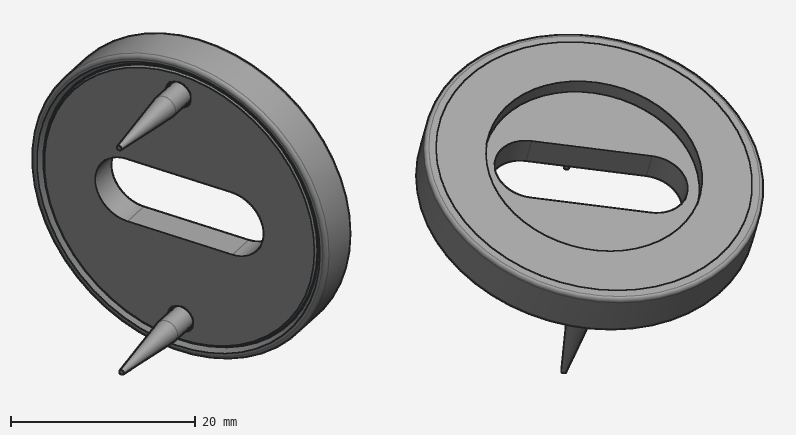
import cadquery as cq

housing_radius = 18.75
housing_depth = 5.45
bore_radius = 17.45
outer_edge_fillet = 0.5
inner_edge_chamfer = 0.5

plate_recess = 0.2
plate_thickness = 3.45
plate_clearance = 0.1
plate_radius = bore_radius - plate_clearance
plate_edge_chamfer = 0.22
plate_back = plate_recess + plate_thickness
slot_length = 21.3
slot_height = 8.02

back_ring_hole_radius = 11.92

pin_offset = 14.48
pin_radius = 1.4
pin_head_radius = 1.6
pin_head_recess = 0.38
pin_flare_length = pin_head_radius - pin_radius
pin_tip_radius = 0.3
taper_start = 2.75
pin_reach = 12.22

turn_angle = -0.57


def disc(radius, front, back):
    """Solid disc about the Y axis between two Y positions."""
    return cq.Workplane("XZ", origin=(0, front, 0)).circle(radius).extrude(front - back)


def turned(shape):
    return shape.rotate((0, 0, 0), (0, 1, 0), turn_angle)


def make_housing():
    body = disc(housing_radius, 0, housing_depth)
    body = body.faces("<Y or >Y").edges().fillet(outer_edge_fillet)
    body = body.cut(disc(bore_radius, 0, housing_depth))
    bore_edge = body.faces("<Y").edges(cq.selectors.RadiusNthSelector(0))
    return bore_edge.chamfer(inner_edge_chamfer)


def make_face_plate():
    plate = disc(plate_radius, plate_recess, plate_back)
    plate = plate.faces("<Y").edges().chamfer(plate_edge_chamfer)
    slot = (
        cq.Workplane("XZ", origin=(0, plate_recess, 0))
        .slot2D(slot_length, slot_height)
        .extrude(-plate_thickness)
    )
    pin_holes = (
        cq.Workplane("XZ", origin=(0, plate_recess, 0))
        .pushPoints([(0, pin_offset), (0, -pin_offset)])
        .circle(pin_head_radius)
        .extrude(-plate_thickness)
    )
    return plate.cut(turned(slot.union(pin_holes)))


def make_back_ring():
    ring = disc(bore_radius, plate_back, housing_depth)
    return ring.cut(disc(back_ring_hole_radius, plate_back, housing_depth))


def make_pin(z_position):
    """Head in the plate, flare up to the shank, then a taper to a flat tip."""
    flare_start = plate_recess + pin_head_recess + pin_flare_length
    profile = [
        (0, plate_back),
        (pin_head_radius, plate_back),
        (pin_head_radius, flare_start),
        (pin_radius, flare_start - pin_flare_length),
        (pin_radius, -taper_start),
        (pin_tip_radius, -pin_reach),
        (0, -pin_reach),
    ]
    pin = cq.Workplane("XY").polyline(profile).close().revolve(360, (0, 0), (0, 1))
    return turned(pin.translate((0, 0, z_position)))


housing = make_housing()
face_plate = make_face_plate()
back_ring = make_back_ring()
pins = [make_pin(z_position) for z_position in (pin_offset, -pin_offset)]

result = cq.Compound.makeCompound(
    [housing.val(), face_plate.val(), back_ring.val(), *[pin.val() for pin in pins]]
)